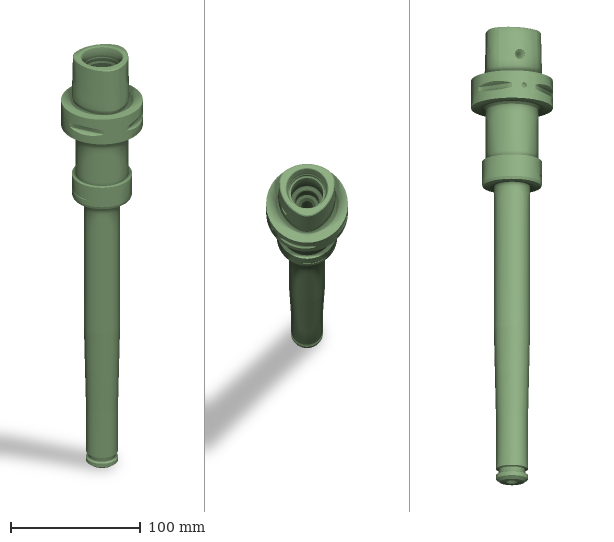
import cadquery as cq
import math


TOTAL_LENGTH = 358.5
SHANK_LENGTH = 38.0
FLANGE_HEIGHT = 22.0
FLANGE_TOP = TOTAL_LENGTH - SHANK_LENGTH
FLANGE_BOTTOM = FLANGE_TOP - FLANGE_HEIGHT
COLLAR_TOP = 255.5
COLLAR_BOTTOM = 236.3
TAPER_TOP = 121.0
TAPER_BOTTOM = 50.2

FLANGE_RADIUS = 31.5
NECK_RADIUS = 20.5
NECK_CONE = 1.8
COLLAR_RADIUS = 23.3
COLLAR_CHAMFER_RADIAL = 0.7
COLLAR_CHAMFER_HEIGHT = 2.0
ROD_RADIUS = 14.0
TIP_RADIUS = 24.7 / 2

TIP_CHAMFER_RADIAL = 3.0
TIP_CHAMFER_HEIGHT = 2.0
TIP_GROOVE_BOTTOM = 5.5
TIP_GROOVE_TOP = 10.5
TIP_GROOVE_RADIUS = 10.5
TIP_GROOVE_SLOPE = 0.7

LOBE_COUNT = 3
LOBE_SPACING = 360 / LOBE_COUNT
LOBE_DISTANCE = 22.5
LOBE_CENTRE = 9.7
BROAD_HALF_ANGLE = 32.0
LOBE_HALF_ANGLE = LOBE_SPACING / 2 - BROAD_HALF_ANGLE
LOBE_RADIUS = LOBE_DISTANCE - LOBE_CENTRE
LOBE_ASIDE = LOBE_CENTRE * math.sin(math.radians(LOBE_SPACING / 2))
LOBE_ALONG = LOBE_CENTRE * math.cos(math.radians(LOBE_SPACING / 2))
BROAD_CENTRE = LOBE_ASIDE / math.tan(math.radians(BROAD_HALF_ANGLE)) - LOBE_ALONG
BROAD_RADIUS = LOBE_ASIDE / math.sin(math.radians(BROAD_HALF_ANGLE)) + LOBE_RADIUS
FLAT_DISTANCE = BROAD_RADIUS - BROAD_CENTRE
SHANK_TAPER = 1.4
SHANK_CHAMFER = 0.7
SHANK_BASE_GAP = 2.0
UNDERCUT_DEPTH = 1.0

RECESS_RADIUS = 24.5
RECESS_DEPTH = 1.0
RECESS_FLOOR_RADIUS = 23.0

MOUTH_RADIUS = 16.5
MOUTH_CHAMFER = 0.55
CUP_RADIUS = MOUTH_RADIUS - MOUTH_CHAMFER
CUP_END_RADIUS = 29.0 / 2
CUP_DEPTH = 6.8
RING_DEPTH = 8.2
STEP_RADIUS = 14.0
STEP_TOP_DEPTH = 9.0
STEP_DEPTH = 11.5
DRAWBAR_RADIUS = 12.5
DRAWBAR_TOP_DEPTH = 12.5
DRAWBAR_DEPTH = 32.3
PILOT_CHAMFER_RADIUS = 9.7
PILOT_RADIUS = 9.0
PILOT_DEPTH = 43.0
COOLANT_CHAMFER_RADIUS = 6.5
COOLANT_RADIUS = 9.0 / 2

SLOT_COUNT = 4
SLOT_FIRST_ANGLE = 45.0
SLOT_HEIGHT = 309.0
SLOT_FLOOR_DISTANCE = 28.0
SLOT_FLOOR_HEIGHT = 3.2
SLOT_FLANK_ANGLE = 30.0

SHANK_HOLE_DIAMETER = 8.2
SHANK_HOLE_HEIGHT = 336.5
SHANK_HOLE_FLOOR = 20.0
DRILL_POINT_ANGLE = 90.0
FLANGE_HOLE_DIAMETER = 4.0
FLANGE_HOLE_DEPTH = 1.8
COLLAR_SLIT_HEIGHT = 243.0
COLLAR_SLIT_WIDTH = 0.7
COLLAR_SLIT_FLOOR = 18.0


def turned(profile):
    """Solid of revolution about Z from (radius, height) points."""
    return cq.Workplane("XZ").polyline(profile).close().revolve(360, (0, 0, 0), (0, 1, 0))


def turned_body():
    neck_top_radius = NECK_RADIUS + NECK_CONE
    return turned([
        (0, 0),
        (TIP_RADIUS - TIP_CHAMFER_RADIAL, 0),
        (TIP_RADIUS, TIP_CHAMFER_HEIGHT),
        (TIP_RADIUS, TIP_GROOVE_BOTTOM),
        (TIP_GROOVE_RADIUS, TIP_GROOVE_BOTTOM + TIP_GROOVE_SLOPE),
        (TIP_GROOVE_RADIUS, TIP_GROOVE_TOP - TIP_GROOVE_SLOPE),
        (TIP_RADIUS, TIP_GROOVE_TOP),
        (TIP_RADIUS, TAPER_BOTTOM),
        (ROD_RADIUS, TAPER_TOP),
        (ROD_RADIUS, COLLAR_BOTTOM),
        (COLLAR_RADIUS - COLLAR_CHAMFER_RADIAL, COLLAR_BOTTOM),
        (COLLAR_RADIUS, COLLAR_BOTTOM + COLLAR_CHAMFER_HEIGHT),
        (COLLAR_RADIUS, COLLAR_TOP),
        (NECK_RADIUS, COLLAR_TOP),
        (NECK_RADIUS, FLANGE_BOTTOM - NECK_CONE),
        (neck_top_radius, FLANGE_BOTTOM),
        (FLANGE_RADIUS, FLANGE_BOTTOM),
        (FLANGE_RADIUS, FLANGE_TOP),
        (RECESS_RADIUS, FLANGE_TOP),
        (RECESS_FLOOR_RADIUS, FLANGE_TOP - RECESS_DEPTH),
        (0, FLANGE_TOP - RECESS_DEPTH),
    ])


def polar(radius, degrees, centre=(0, 0)):
    angle = math.radians(degrees)
    return (centre[0] + radius * math.cos(angle), centre[1] + radius * math.sin(angle))


def polygon_outline(base_height, growth):
    """Closed three-lobed outline of tangent arcs, offset outwards by growth; one lobe points to +X."""
    lobe_radius = LOBE_RADIUS + growth
    outline = cq.Workplane("XY", origin=(0, 0, base_height))
    outline = outline.moveTo(*polar(lobe_radius, -LOBE_HALF_ANGLE, (LOBE_CENTRE, 0)))
    for lobe_index in range(LOBE_COUNT):
        lobe_angle = lobe_index * LOBE_SPACING
        lobe_centre = polar(LOBE_CENTRE, lobe_angle)
        next_angle = lobe_angle + LOBE_SPACING
        next_centre = polar(LOBE_CENTRE, next_angle)
        outline = outline.threePointArc(
            polar(lobe_radius, lobe_angle, lobe_centre),
            polar(lobe_radius, lobe_angle + LOBE_HALF_ANGLE, lobe_centre),
        )
        outline = outline.threePointArc(
            polar(FLAT_DISTANCE + growth, lobe_angle + LOBE_SPACING / 2),
            polar(lobe_radius, next_angle - LOBE_HALF_ANGLE, next_centre),
        )
    return outline.close()


def shank():
    taper_height = SHANK_LENGTH - SHANK_BASE_GAP
    base_growth = taper_height * math.tan(math.radians(SHANK_TAPER))
    base = FLANGE_TOP + SHANK_BASE_GAP
    tapered = polygon_outline(base, base_growth).extrude(taper_height, taper=SHANK_TAPER)
    tapered = tapered.faces(">Z").chamfer(SHANK_CHAMFER)
    undercut_base = FLANGE_TOP - RECESS_DEPTH
    undercut = polygon_outline(undercut_base, base_growth - UNDERCUT_DEPTH).extrude(base - undercut_base)
    return tapered.union(undercut)


def stepped_bore():
    def depth(distance):
        return TOTAL_LENGTH - distance

    pilot_chamfer = PILOT_CHAMFER_RADIUS - PILOT_RADIUS
    coolant_chamfer = COOLANT_CHAMFER_RADIUS - COOLANT_RADIUS
    return turned([
        (0, depth(0)),
        (MOUTH_RADIUS, depth(0)),
        (CUP_RADIUS, depth(MOUTH_CHAMFER)),
        (CUP_END_RADIUS, depth(CUP_DEPTH)),
        (CUP_END_RADIUS, depth(RING_DEPTH)),
        (STEP_RADIUS, depth(STEP_TOP_DEPTH)),
        (STEP_RADIUS, depth(STEP_DEPTH)),
        (DRAWBAR_RADIUS, depth(DRAWBAR_TOP_DEPTH)),
        (DRAWBAR_RADIUS, depth(DRAWBAR_DEPTH)),
        (PILOT_CHAMFER_RADIUS, depth(DRAWBAR_DEPTH)),
        (PILOT_RADIUS, depth(DRAWBAR_DEPTH + pilot_chamfer)),
        (PILOT_RADIUS, depth(PILOT_DEPTH)),
        (COOLANT_CHAMFER_RADIUS, depth(PILOT_DEPTH)),
        (COOLANT_RADIUS, depth(PILOT_DEPTH + coolant_chamfer)),
        (COOLANT_RADIUS, 0),
        (0, 0),
    ])


def gripper_slot(angle):
    """Straight trapezoidal slot across the flange edge, facing the given direction."""
    reach = FLANGE_RADIUS - SLOT_FLOOR_DISTANCE
    half_floor = SLOT_FLOOR_HEIGHT / 2
    half_mouth = half_floor + reach * math.tan(math.radians(SLOT_FLANK_ANGLE))
    section = cq.Workplane("XZ").polyline([
        (SLOT_FLOOR_DISTANCE, SLOT_HEIGHT - half_floor),
        (FLANGE_RADIUS, SLOT_HEIGHT - half_mouth),
        (FLANGE_RADIUS, SLOT_HEIGHT + half_mouth),
        (SLOT_FLOOR_DISTANCE, SLOT_HEIGHT + half_floor),
    ]).close()
    return section.extrude(FLANGE_RADIUS, both=True).rotate((0, 0, 0), (0, 0, 1), angle)


def shank_hole():
    """Blind drilled hole entering the shank from -X, ending in a drill point."""
    radius = SHANK_HOLE_DIAMETER / 2
    point_depth = radius / math.tan(math.radians(DRILL_POINT_ANGLE / 2))
    return cq.Workplane("XZ").polyline([
        (-FLANGE_RADIUS, SHANK_HOLE_HEIGHT),
        (-FLANGE_RADIUS, SHANK_HOLE_HEIGHT + radius),
        (-SHANK_HOLE_FLOOR, SHANK_HOLE_HEIGHT + radius),
        (-SHANK_HOLE_FLOOR + point_depth, SHANK_HOLE_HEIGHT),
    ]).close().revolve(360, (0, SHANK_HOLE_HEIGHT, 0), (1, SHANK_HOLE_HEIGHT, 0))


def flange_hole():
    start = cq.Workplane("YZ", origin=(-FLANGE_RADIUS, 0, SLOT_HEIGHT))
    return start.circle(FLANGE_HOLE_DIAMETER / 2).extrude(FLANGE_HOLE_DEPTH)


def collar_slit():
    """Narrow straight slit across the -Y side of the collar."""
    return cq.Workplane("XY").box(
        2 * COLLAR_RADIUS, COLLAR_RADIUS - COLLAR_SLIT_FLOOR, COLLAR_SLIT_WIDTH
    ).translate((0, -(COLLAR_RADIUS + COLLAR_SLIT_FLOOR) / 2, COLLAR_SLIT_HEIGHT))


result = turned_body().union(shank())
result = result.cut(stepped_bore())
for slot_index in range(SLOT_COUNT):
    result = result.cut(gripper_slot(SLOT_FIRST_ANGLE + slot_index * 360 / SLOT_COUNT))
result = result.cut(shank_hole()).cut(flange_hole()).cut(collar_slit())